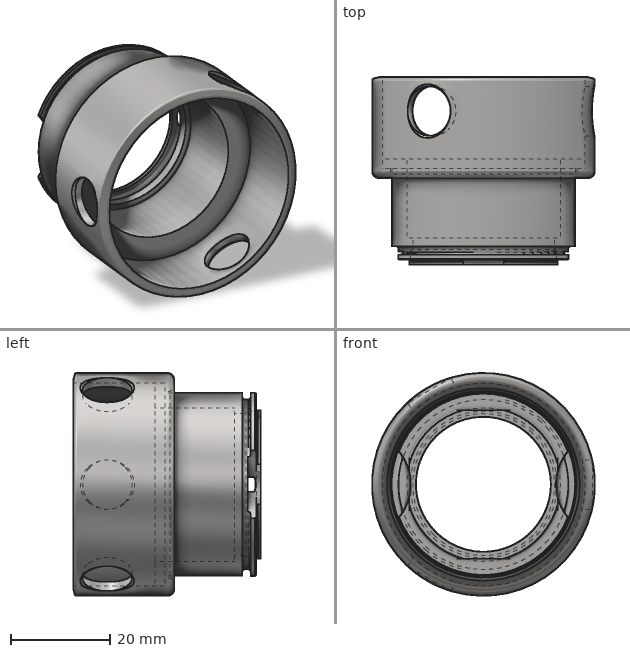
import cadquery as cq
import math


ring_radius = 22.5
ring_front = 17.45
ring_back = 37.9
ring_front_round = 1.5
ring_back_round = 0.5
back_bevel_angle = 16.0
back_face_radius = 21.05
cavity_radius = 20.48
lip_radius = 18.8
lip_chamfer = 0.15
lip_taper_width = 0.35
lip_taper_length = 0.65
lip_thickness = 2.0
cavity_front = ring_front + lip_thickness

hole_count = 3
hole_radius = 5.0
hole_y = 31.0
countersink_slope = 0.8

barrel_radius = 18.5
barrel_front = 3.75
collar_thickness = 2.0
collar_back = cavity_front + collar_thickness
neck_radius = 17.15
neck_fillet = 0.5
flange_front = 1.0
flange_back = 2.05
flange_chamfer = 0.22

boss_radius = 15.52
boss_fillet = 0.35
boss_flat_offset = 15.0

bore_radius = 13.6
groove_radius = 14.8
groove_fillet = 0.5
groove_front = flange_front
groove_back = 3.1
throat_radius = groove_radius - groove_fillet
counterbore_radius = 15.5
counterbore_front = 5.4

scallop_radius = 10.4
scallop_offset = 25.0
scallop_depth = 2.65


def fillet_middle(center, radius, angle):
    """Point on a fillet arc at an angle in degrees from the +X direction."""
    turn = math.radians(angle)
    return (center[0] + radius * math.cos(turn), center[1] + radius * math.sin(turn))


def about_y(profile):
    """Turn a closed (radius, y) profile around the Y axis."""
    return profile.close().revolve(360, (0, 0, 0), (0, 1, 0))


def make_ring_blank():
    bevel = math.radians(back_bevel_angle)
    round_x = ring_radius - ring_back_round
    bevel_start_x = round_x + ring_back_round * math.sin(bevel)
    bevel_start_y = ring_back - (bevel_start_x - back_face_radius) * math.tan(bevel)
    round_y = bevel_start_y - ring_back_round * math.cos(bevel)
    front_round_center = (ring_radius - ring_front_round, ring_front + ring_front_round)
    taper_back_x = lip_radius + lip_chamfer
    taper_front_x = taper_back_x + lip_taper_width
    taper_front_y = ring_front + lip_chamfer
    taper_back_y = taper_front_y + lip_taper_length
    profile = (
        cq.Workplane("XY")
        .moveTo(taper_front_x + lip_chamfer, ring_front)
        .lineTo(front_round_center[0], ring_front)
        .threePointArc(
            fillet_middle(front_round_center, ring_front_round, -45),
            (ring_radius, front_round_center[1]),
        )
        .lineTo(ring_radius, round_y)
        .threePointArc(
            fillet_middle((round_x, round_y), ring_back_round, (90 - back_bevel_angle) / 2),
            (bevel_start_x, bevel_start_y),
        )
        .lineTo(back_face_radius, ring_back)
        .lineTo(cavity_radius, ring_back)
        .lineTo(cavity_radius, cavity_front)
        .lineTo(lip_radius, cavity_front)
        .lineTo(lip_radius, taper_back_y + lip_chamfer)
        .lineTo(taper_back_x, taper_back_y)
        .lineTo(taper_front_x, taper_front_y)
    )
    return about_y(profile)


def make_hole_cutter():
    """Hole along +X with a countersink that fades out where the curved wall falls away."""
    sink_start = math.sqrt(ring_radius**2 - hole_radius**2)
    sink_end = ring_radius + 0.45
    sink_end_radius = hole_radius + countersink_slope * (sink_end - sink_start)
    profile = (
        cq.Workplane("XY")
        .moveTo(0, 0)
        .lineTo(0, hole_radius)
        .lineTo(sink_start, hole_radius)
        .lineTo(sink_end, sink_end_radius)
        .lineTo(sink_end, 0)
        .close()
    )
    return profile.revolve(360, (0, 0, 0), (1, 0, 0)).translate((0, hole_y, 0))


def make_ring():
    ring = make_ring_blank()
    for index in range(hole_count):
        turn = index * 360 / hole_count
        ring = ring.cut(make_hole_cutter().rotate((0, 0, 0), (0, 1, 0), turn))
    return ring


def make_sleeve_blank():
    neck_center = (neck_radius + neck_fillet, barrel_front - neck_fillet)
    flange_fillet_y = flange_back + neck_fillet
    groove_front_y = groove_front + groove_fillet
    groove_back_y = groove_back - groove_fillet
    profile = (
        cq.Workplane("XY")
        .moveTo(bore_radius, flange_front)
        .lineTo(barrel_radius - flange_chamfer, flange_front)
        .lineTo(barrel_radius, flange_front + flange_chamfer)
        .lineTo(barrel_radius, flange_back)
        .lineTo(neck_center[0], flange_back)
        .threePointArc(
            fillet_middle((neck_center[0], flange_fillet_y), neck_fillet, -135),
            (neck_radius, flange_fillet_y),
        )
        .lineTo(neck_radius, neck_center[1])
        .threePointArc(
            fillet_middle(neck_center, neck_fillet, 135), (neck_center[0], barrel_front)
        )
        .lineTo(barrel_radius, barrel_front)
        .lineTo(barrel_radius, cavity_front)
        .lineTo(cavity_radius, cavity_front)
        .lineTo(cavity_radius, collar_back)
        .lineTo(counterbore_radius, collar_back)
        .lineTo(counterbore_radius, counterbore_front)
        .lineTo(throat_radius, counterbore_front)
        .lineTo(throat_radius, groove_back)
        .threePointArc(
            fillet_middle((throat_radius, groove_back_y), groove_fillet, 45),
            (groove_radius, groove_back_y),
        )
        .lineTo(groove_radius, groove_front_y)
        .threePointArc(
            fillet_middle((throat_radius, groove_front_y), groove_fillet, -45),
            (throat_radius, groove_front),
        )
        .lineTo(bore_radius, groove_front)
    )
    return about_y(profile)


def make_boss():
    """Thin front boss, filleted at its root and trimmed to a square of four flats."""
    fillet_center = (boss_radius + boss_fillet, flange_front - boss_fillet)
    profile = (
        cq.Workplane("XY")
        .moveTo(bore_radius, 0)
        .lineTo(boss_radius, 0)
        .lineTo(boss_radius, fillet_center[1])
        .threePointArc(
            fillet_middle(fillet_center, boss_fillet, 135), (fillet_center[0], flange_front)
        )
        .lineTo(fillet_center[0], flange_back)
        .lineTo(groove_radius, flange_back)
        .lineTo(groove_radius, flange_front)
        .lineTo(bore_radius, flange_front)
    )
    square = cq.Workplane("XY").box(2 * boss_flat_offset, 2 * flange_back, 2 * boss_flat_offset)
    return about_y(profile).intersect(square)


def cut_scallops(sleeve):
    for side in (-1, 1):
        scallop = (
            cq.Workplane("XZ")
            .center(side * scallop_offset, 0)
            .circle(scallop_radius)
            .extrude(-scallop_depth)
        )
        sleeve = sleeve.cut(scallop)
    return sleeve


def make_sleeve():
    return cut_scallops(make_sleeve_blank().union(make_boss()))


ring = make_ring()
sleeve = make_sleeve()

result = cq.Compound.makeCompound([ring.val(), sleeve.val()])